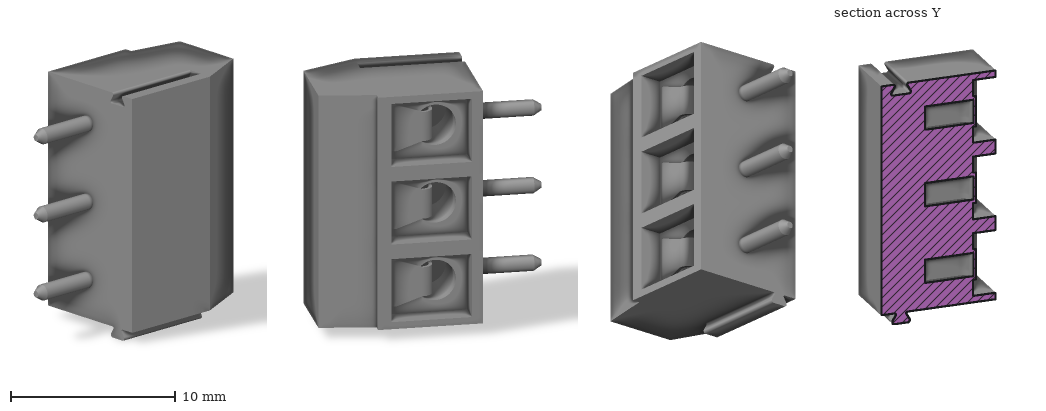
import cadquery as cq
import math


poles = 3
pitch = 5.0
width = 7.5
depth = 10.0
height = 14.97
base_depth = 6.5
ledge = 0.5
wire_side_taper = 10
back_side_taper = 25

pin_x = 3.5
pin_radius = 0.5
pin_tip_radius = 0.2
pin_length = 4.3
pin_tip_length = 0.5

window_y = 0.69
window_length = 5.0
window_height = 4.06
window_floor = 1.46
hole_y = 2.7
hole_radius = 1.3
hole_depth = 3.14
hole_bottom = window_floor + hole_depth

tongue_thickness = 0.2
tongue_wide = 2.95
tongue_narrow = 1.87
tongue_end_gap = 0.17
tongue_end_radius = 0.5
bend_radius = 0.75
bend_y = 3.53

dovetail_x = width - 1.3
dovetail_angle = 30
key_height = 0.7
key_neck = 0.6
key_neck_fillet = 0.08
key_edge_fillet = 0.15
groove_depth = 0.7
groove_neck = 0.6
groove_lip_fillet = 0.13
groove_edge_fillet = 0.11


def make_housing():
    taper_length = depth - base_depth
    wire_side_inset = taper_length * math.tan(math.radians(wire_side_taper))
    back_side_inset = taper_length * math.tan(math.radians(back_side_taper))
    outline = [
        (0, 0),
        (width, 0),
        (width, base_depth),
        (width - back_side_inset, depth),
        (ledge + wire_side_inset, depth),
        (ledge, base_depth),
        (0, base_depth),
    ]
    return cq.Workplane("XY").polyline(outline).close().extrude(height)


def make_dovetail(top_z, neck, size, neck_fillet, edge_fillet):
    """Bar along Y: a dovetail hanging below top_z from a strip that gives its neck an inner corner."""
    half_neck = neck / 2
    half_foot = half_neck + size * math.tan(math.radians(dovetail_angle))
    half_strip = half_foot + edge_fillet
    outline = [
        (-half_strip, size),
        (half_strip, size),
        (half_strip, 0),
        (half_neck, 0),
        (half_foot, -size),
        (-half_foot, -size),
        (-half_neck, 0),
        (-half_strip, 0),
    ]
    bar = (
        cq.Workplane("XZ", origin=(dovetail_x, 0, top_z))
        .polyline(outline).close()
        .extrude(-base_depth)
    )

    def edges_at(half, z):
        """Corner edges along Y within `half` of the middle, at height z from the neck."""
        reach = half + edge_fillet / 2
        slab = cq.selectors.BoxSelector(
            (dovetail_x - reach, -0.15, top_z + z - edge_fillet / 2),
            (dovetail_x + reach, base_depth + 0.15, top_z + z + edge_fillet / 2),
        )
        return bar.edges("|Y").edges(slab)

    bar = edges_at(half_neck, 0).fillet(neck_fillet)
    return edges_at(half_foot, -size).fillet(edge_fillet)


def make_pin(z):
    outline = [
        (0, 0),
        (pin_radius, 0),
        (pin_radius, pin_tip_length - pin_length),
        (pin_tip_radius, -pin_length),
        (0, -pin_length),
    ]
    profile = cq.Workplane("XY", origin=(pin_x, 0, z)).polyline(outline).close()
    return profile.revolve(360, (0, 0, 0), (0, 1, 0))


def make_wire_entry(z):
    window = cq.Workplane("XY").box(
        window_floor, window_length, window_height, centered=(False, False, True)
    )
    hole = cq.Workplane("YZ").center(hole_y, 0).circle(hole_radius).extrude(hole_bottom)
    return window.translate((0, window_y, z)).union(hole.translate((0, 0, z)))


def make_tongue(z):
    face_x = window_floor - tongue_thickness
    end_y = window_y + window_length - tongue_end_gap
    arc_drop = tongue_end_radius - tongue_thickness
    flat_end_y = end_y - math.sqrt(tongue_end_radius ** 2 - arc_drop ** 2)
    tip_y = bend_y - bend_radius
    inner_radius = bend_radius - tongue_thickness

    strip = (
        cq.Workplane("XY")
        .moveTo(window_floor, end_y)
        .radiusArc((face_x, flat_end_y), -tongue_end_radius)
        .lineTo(face_x, bend_y)
        .radiusArc((face_x + bend_radius, tip_y), -bend_radius)
        .lineTo(hole_bottom, tip_y)
        .lineTo(hole_bottom, tip_y + tongue_thickness)
        .lineTo(window_floor + inner_radius, tip_y + tongue_thickness)
        .radiusArc((window_floor, bend_y), inner_radius)
        .close()
        .extrude(tongue_wide / 2, both=True)
    )
    half_wide = tongue_wide / 2
    half_narrow = tongue_narrow / 2
    plan = [
        (end_y, half_wide),
        (flat_end_y, half_wide),
        (bend_y, half_narrow),
        (tip_y, half_narrow),
        (tip_y, -half_narrow),
        (bend_y, -half_narrow),
        (flat_end_y, -half_wide),
        (end_y, -half_wide),
    ]
    blank = cq.Workplane("YZ").polyline(plan).close().extrude(hole_bottom)
    return strip.intersect(blank).translate((0, 0, z))


groove = make_dovetail(height, groove_neck, groove_depth, groove_lip_fillet, groove_edge_fillet)
key = make_dovetail(0, key_neck, key_height, key_neck_fillet, key_edge_fillet)

result = make_housing().cut(groove).union(key)
for pole in range(poles):
    pole_z = height / 2 + (pole - (poles - 1) / 2) * pitch
    result = result.union(make_pin(pole_z))
    result = result.cut(make_wire_entry(pole_z))
    result = result.union(make_tongue(pole_z))